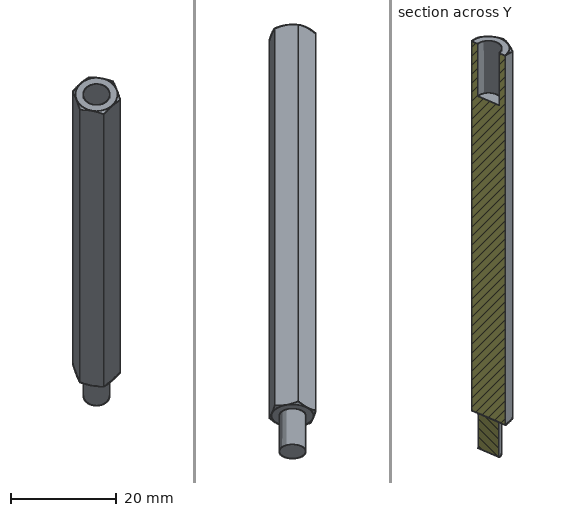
import cadquery as cq
import math

total_length = 93.0
stud_length = 8.0
across_flats = 8.0
thread_diameter = 5.0
bore_depth = 12.0
chamfer_face_diameter = 7.9
chamfer_angle = 30.0

hex_length = total_length - stud_length
across_corners = across_flats / math.cos(math.radians(30))
chamfer_width = (across_corners - chamfer_face_diameter) / 2
chamfer_height = chamfer_width * math.tan(math.radians(chamfer_angle))


def make_chamfer_envelope():
    """Round bar with coned ends that trims the corners of the hexagon."""
    return (
        cq.Workplane("XY")
        .workplane(offset=stud_length)
        .circle(across_corners / 2)
        .extrude(hex_length)
        .faces("<Z or >Z")
        .edges()
        .chamfer(chamfer_height, chamfer_width)
    )


def make_hex_sleeve():
    """Hexagonal spacer, corners along Y, with a blind bore in its top end."""
    hexagon = (
        cq.Workplane("XY")
        .workplane(offset=stud_length)
        .transformed(rotate=(0, 0, 90))
        .polygon(6, across_corners)
        .extrude(hex_length)
    )
    bore = (
        cq.Workplane("XY")
        .workplane(offset=total_length - bore_depth)
        .circle(thread_diameter / 2)
        .extrude(bore_depth)
    )
    return hexagon.intersect(make_chamfer_envelope()).cut(bore)


def make_stud():
    """Plain round stud standing below the lower end face of the spacer."""
    return cq.Workplane("XY").circle(thread_diameter / 2).extrude(stud_length)


hex_sleeve = make_hex_sleeve()
stud = make_stud()

result = cq.Compound.makeCompound([hex_sleeve.val(), stud.val()])